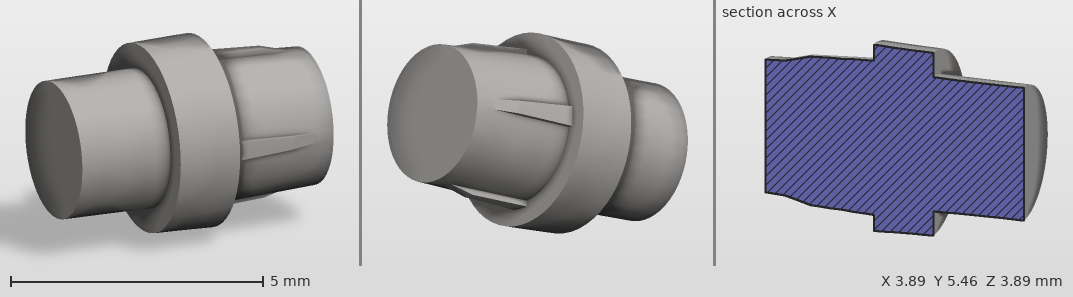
import cadquery as cq

length = 5.46
front_end = -length / 2
back_end = length / 2
front_plug_length = 1.905
flange_thickness = 1.27
flange_front = front_end + front_plug_length
flange_back = flange_front + flange_thickness

plug_tip_radius = 1.385
front_plug_root_radius = 1.405
back_plug_root_radius = 1.495
flange_front_radius = 1.905
flange_back_radius = 1.945

rib_count = 4
rib_root_width = 0.405
rib_tip_width = 0.2
rib_root_radius = 1.61
rib_knee_radius = 1.55
rib_tip_y = back_end - 0.405
rib_knee_y = back_end - 0.95


def plug_radius(y):
    """Radius of the tapered back plug at station y."""
    taper = (back_plug_root_radius - plug_tip_radius) / (back_end - flange_back)
    return back_plug_root_radius - taper * (y - flange_back)


def revolved(points):
    """Turn a (radius, y) outline about the Y axis."""
    return cq.Workplane("XY").polyline(points).close().revolve(360, (0, 0, 0), (0, 1, 0))


def make_body():
    return revolved([
        (0, front_end),
        (plug_tip_radius, front_end),
        (front_plug_root_radius, flange_front),
        (flange_front_radius, flange_front),
        (flange_back_radius, flange_back),
        (back_plug_root_radius, flange_back),
        (plug_tip_radius, back_end),
        (0, back_end),
    ])


def make_rib():
    """Rib on the +Z side: narrowing wedge with a conical crest and a steeper conical lead-in."""
    wedge = (
        cq.Workplane("XY")
        .polyline([
            (-rib_root_width / 2, flange_back),
            (rib_root_width / 2, flange_back),
            (rib_tip_width / 2, rib_tip_y),
            (-rib_tip_width / 2, rib_tip_y),
        ])
        .close()
        .extrude(flange_back_radius)
    )
    crest = revolved([
        (0, flange_back),
        (rib_root_radius, flange_back),
        (rib_knee_radius, rib_knee_y),
        (plug_radius(rib_tip_y), rib_tip_y),
        (0, rib_tip_y),
    ])
    return wedge.intersect(crest)


result = make_body()
rib = make_rib()
for i in range(rib_count):
    result = result.union(rib.rotate((0, 0, 0), (0, 1, 0), i * 360 / rib_count))